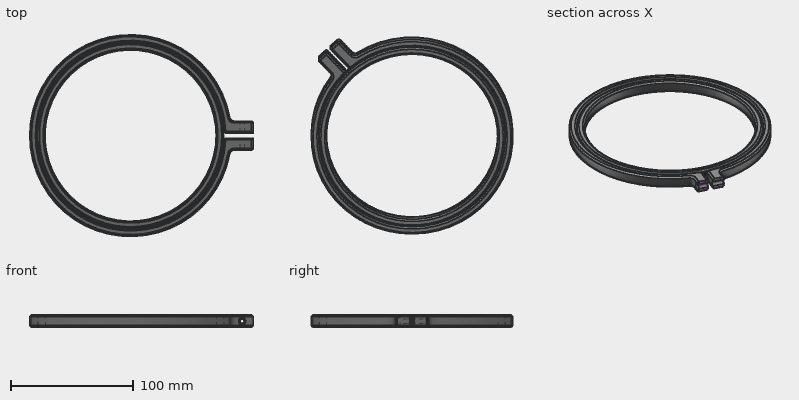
import cadquery as cq
import math

HEIGHT = 10.0
EDGE_CHAMFER = 1.5

INNER_BORE_RADIUS = 140.0 / 2
INNER_OUTER_RADIUS = 152.0 / 2

CLEARANCE = 0.4
CLAMP_BORE_RADIUS = INNER_OUTER_RADIUS + CLEARANCE
CLAMP_OUTER_RADIUS = 164.9 / 2

EAR_END_X = 182.8 - CLAMP_OUTER_RADIUS
EAR_HALF_SPAN = 11.9
SLOT_WIDTH = 4.0
EAR_FILLET = 3.8
CORNER_RADIUS = 2.0

SCREW_X = 91.2
SCREW_DIAMETER = 3.5
SCREW_HEAD_DIAMETER = 5.7
SCREW_HEAD_DEPTH = 2.0


def make_inner_ring():
    """Plain ring with all four rims chamfered."""
    ring = cq.Workplane("XY").circle(INNER_OUTER_RADIUS).circle(INNER_BORE_RADIUS).extrude(HEIGHT)
    return ring.faces("<Z or >Z").chamfer(EDGE_CHAMFER)


def clamp_outline():
    """Solid outer profile of the clamp ring, with filleted ear roots."""
    fillet_y = EAR_HALF_SPAN + EAR_FILLET
    fillet_x = math.sqrt((CLAMP_OUTER_RADIUS + EAR_FILLET) ** 2 - fillet_y**2)
    tangent_ratio = CLAMP_OUTER_RADIUS / (CLAMP_OUTER_RADIUS + EAR_FILLET)
    root_x = fillet_x * tangent_ratio
    root_y = fillet_y * tangent_ratio

    start_angle = math.atan2(-fillet_y, -fillet_x)
    middle_angle = (start_angle - math.pi / 2) / 2
    middle_x = fillet_x + EAR_FILLET * math.cos(middle_angle)
    middle_y = fillet_y + EAR_FILLET * math.sin(middle_angle)
    return (
        cq.Workplane("XY")
        .moveTo(root_x, root_y)
        .threePointArc((-CLAMP_OUTER_RADIUS, 0), (root_x, -root_y))
        .threePointArc((middle_x, -middle_y), (fillet_x, -EAR_HALF_SPAN))
        .lineTo(EAR_END_X, -EAR_HALF_SPAN)
        .lineTo(EAR_END_X, EAR_HALF_SPAN)
        .lineTo(fillet_x, EAR_HALF_SPAN)
        .threePointArc((middle_x, middle_y), (root_x, root_y))
        .close()
    )


def screw_hole():
    """Cross hole along Y through both ears, counterbored on the -Y ear for the screw head."""
    entry = cq.Vector(SCREW_X, -EAR_HALF_SPAN, HEIGHT / 2)
    along_y = cq.Vector(0, 1, 0)
    shank = cq.Solid.makeCylinder(SCREW_DIAMETER / 2, 2 * EAR_HALF_SPAN, entry, along_y)
    head = cq.Solid.makeCylinder(SCREW_HEAD_DIAMETER / 2, SCREW_HEAD_DEPTH, entry, along_y)
    return cq.Workplane(obj=shank).union(cq.Workplane(obj=head))


def make_clamp_ring():
    """Split ring with two ears, every top and bottom edge chamfered."""
    bore = cq.Workplane("XY").circle(CLAMP_BORE_RADIUS).extrude(HEIGHT)
    ring = clamp_outline().extrude(HEIGHT).cut(bore)
    slot = cq.Workplane("XY").box(EAR_END_X, SLOT_WIDTH, HEIGHT, centered=(False, True, False))
    ring = ring.cut(slot)

    slot_mouth_x = math.sqrt(CLAMP_BORE_RADIUS**2 - (SLOT_WIDTH / 2) ** 2)
    corners = [(EAR_END_X, EAR_HALF_SPAN), (slot_mouth_x, SLOT_WIDTH / 2)]
    for x, y in corners:
        for side in (-1, 1):
            corner_edge = cq.selectors.NearestToPointSelector((x, side * y, HEIGHT / 2))
            ring = ring.edges("|Z").edges(corner_edge).fillet(CORNER_RADIUS)

    ring = ring.faces("<Z or >Z").chamfer(EDGE_CHAMFER)
    return ring.cut(screw_hole())


inner_ring = make_inner_ring()
clamp_ring = make_clamp_ring()

result = cq.Compound.makeCompound([inner_ring.val(), clamp_ring.val()])